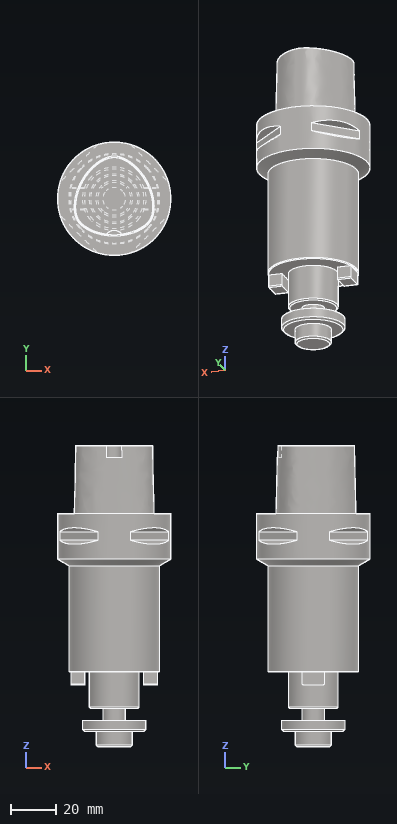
import cadquery as cq
import math

total_height = 132.5
shank_length = 30.0
flange_height = 20.0
flange_cone_height = 2.9
body_bottom = 32.9
pilot_bottom = 16.8
washer_top = 11.7
washer_bottom = 6.8
flange_top = total_height - shank_length
flange_bottom = flange_top - flange_height
body_top = flange_bottom - flange_cone_height

flange_diameter = 50.0
body_diameter = 40.0
pilot_diameter = 22.0
screw_shaft_diameter = 10.0
washer_diameter = 28.0
screw_head_diameter = 16.0

body_chamfer = 0.4
pilot_chamfer = 0.7
washer_chamfer = 0.9
head_chamfer = 0.8

shank_base_radius = 17.6
shank_top_radius = 17.0
lobe_height = 1.2
lobe_direction = 90.0
points_per_lobe = 16

notch_radius = 4.1
notch_inner_y = -13.9
notch_depth = 5.3

groove_count = 4
groove_first_angle = 45.0
groove_floor_distance = 22.0
groove_floor_height = 3.7
groove_wall_angle = 31.0
groove_middle = 92.8
groove_overshoot = 1.3

key_inner_x = 12.9
key_outer_x = 19.1
key_width = 10.0
key_height = 5.7
key_chamfer = 0.5


def round_section(diameter, bottom, top, bottom_chamfer=0.0):
    section = cq.Workplane("XY").workplane(offset=bottom).circle(diameter / 2).extrude(top - bottom)
    if bottom_chamfer > 0:
        section = section.faces("<Z").chamfer(bottom_chamfer)
    return section


def lobed_wire(mean_radius, height):
    """Constant-width curve whose tangent distance is mean_radius + lobe_height * cos(3 * turn)."""
    points = []
    point_count = 3 * points_per_lobe
    for index in range(point_count):
        turn = 2 * math.pi * index / point_count
        distance = mean_radius + lobe_height * math.cos(3 * turn)
        slope = -3 * lobe_height * math.sin(3 * turn)
        angle = turn + math.radians(lobe_direction)
        x = distance * math.cos(angle) - slope * math.sin(angle)
        y = distance * math.sin(angle) + slope * math.cos(angle)
        points.append(cq.Vector(x, y, height))
    return cq.Wire.assembleEdges([cq.Edge.makeSpline(points, periodic=True)])


def make_shank():
    base = lobed_wire(shank_base_radius, flange_top)
    top = lobed_wire(shank_top_radius, total_height)
    shank = cq.Workplane(cq.Solid.makeLoft([base, top], True))
    notch = (
        cq.Workplane("XY")
        .workplane(offset=total_height - notch_depth)
        .center(0, notch_inner_y - notch_radius)
        .circle(notch_radius)
        .extrude(notch_depth)
    )
    return shank.cut(notch)


def make_flange():
    flange = round_section(flange_diameter, flange_bottom, flange_top)
    cone = cq.Workplane(
        cq.Solid.makeCone(
            body_diameter / 2,
            flange_diameter / 2,
            flange_cone_height,
            pnt=cq.Vector(0, 0, body_top),
        )
    )
    return flange.union(cone)


def make_groove(angle):
    """Straight trapezoidal cutter that widens outward from the groove floor."""
    cutter_depth = flange_diameter / 2 - groove_floor_distance + groove_overshoot
    floor_half = groove_floor_height / 2
    mouth_half = floor_half + cutter_depth * math.tan(math.radians(groove_wall_angle))
    mouth_distance = groove_floor_distance + cutter_depth
    return (
        cq.Workplane("XZ")
        .polyline([
            (groove_floor_distance, groove_middle - floor_half),
            (mouth_distance, groove_middle - mouth_half),
            (mouth_distance, groove_middle + mouth_half),
            (groove_floor_distance, groove_middle + floor_half),
        ])
        .close()
        .extrude(flange_diameter / 2, both=True)
        .rotate((0, 0, 0), (0, 0, 1), angle)
    )


def make_key(side):
    key_bottom = body_bottom - key_height
    return (
        cq.Workplane("XY")
        .workplane(offset=key_bottom)
        .center(side * (key_inner_x + key_outer_x) / 2, 0)
        .rect(key_outer_x - key_inner_x, key_width)
        .extrude(key_height + body_chamfer)
        .faces("<Z")
        .edges("|X")
        .chamfer(key_chamfer)
    )


result = make_flange()
for groove_index in range(groove_count):
    result = result.cut(make_groove(groove_first_angle + groove_index * 360 / groove_count))
result = result.union(make_shank())
result = result.union(round_section(body_diameter, body_bottom, body_top, body_chamfer))
result = result.union(round_section(pilot_diameter, pilot_bottom, body_bottom, pilot_chamfer))
result = result.union(round_section(screw_shaft_diameter, washer_top, pilot_bottom))
result = result.union(round_section(washer_diameter, washer_bottom, washer_top, washer_chamfer))
result = result.union(round_section(screw_head_diameter, 0, washer_bottom, head_chamfer))

for key_side in (-1, 1):
    result = result.union(make_key(key_side))